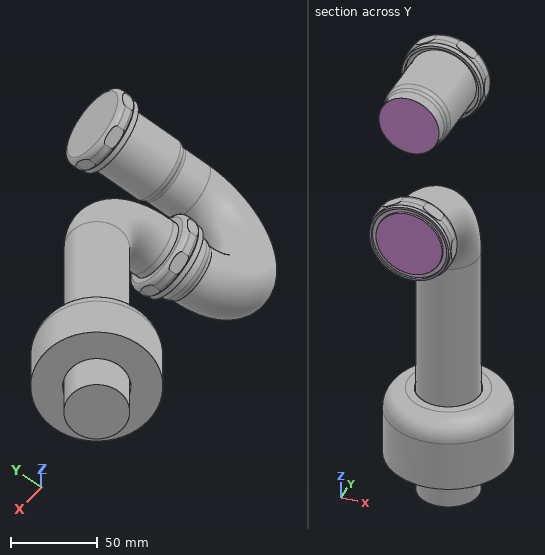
import cadquery as cq

pipe_radius = 19.0
total_height = 316.7
axis_spacing = 82.5
u_bend_radius = axis_spacing / 2
u_bend_end_y = -69.7
elbow_radius = 41.5

crown_diameter = 52.3
crown_radius = crown_diameter / 2
flat_count = 6
flat_distance = 25.3
nut_width = 10.0
mouth_rounding = 3.5
back_rounding = 2.2
collar_radius = 25.0
collar_width = 3.5
collar_recess_radius = 23.5
collar_recess_depth = 2.5

socket_radius = 21.0
neck_length = 5.5
neck_shoulder_share = 0.57
upper_mouth_y = 3.2
upper_socket_end_y = -45.5
lower_mouth_y = -45.5
lower_socket_end_y = -65.2

cup_diameter = 76.3
cup_bottom_z = 25.5
cup_height = 45.0
cup_rounding = 13.3
cup_hole_radius = 19.5

upper_axis_z = total_height - crown_radius
lower_axis_z = upper_axis_z - axis_spacing


def cylinder_toward_minus_y(start_y, axis_z, radius, length):
    """Solid cylinder on a horizontal axis, running from start_y toward -Y."""
    return cq.Workplane("XZ", origin=(0, start_y, axis_z)).circle(radius).extrude(length)


def make_union_nut(mouth_y, axis_z):
    """Nut whose flats cut into a crown rounded at both ends, plus its collar."""
    crown = cylinder_toward_minus_y(mouth_y, axis_z, crown_radius, nut_width)
    crown = crown.faces(">Y").edges().fillet(mouth_rounding)
    crown = crown.faces("<Y").edges().fillet(back_rounding)

    hexagon = (
        cq.Workplane("XZ", origin=(0, mouth_y, axis_z))
        .polygon(flat_count, 2 * flat_distance, circumscribed=True)
        .extrude(nut_width)
    )
    collar = cylinder_toward_minus_y(mouth_y - nut_width, axis_z, collar_radius, collar_width)
    collar_back_y = mouth_y - nut_width - collar_width
    recess = cylinder_toward_minus_y(
        collar_back_y + collar_recess_depth, axis_z, collar_recess_radius, collar_recess_depth
    )
    return crown.intersect(hexagon).union(collar).cut(recess)


def make_socket(mouth_y, socket_end_y, axis_z):
    """Socket that starts behind the crown and narrows to the pipe in an S-shaped neck."""
    start_y = mouth_y - nut_width
    neck_step = socket_radius - pipe_radius
    neck_middle = (
        socket_end_y - neck_shoulder_share * neck_length,
        socket_radius - neck_shoulder_share * neck_step,
    )
    neck_end = (socket_end_y - neck_length, pipe_radius)
    return (
        cq.Workplane("YZ", origin=(0, 0, axis_z))
        .moveTo(start_y, 0)
        .lineTo(start_y, socket_radius)
        .lineTo(socket_end_y, socket_radius)
        .tangentArcPoint(neck_middle, relative=False)
        .tangentArcPoint(neck_end, relative=False)
        .lineTo(neck_end[0], 0)
        .close()
        .revolve(360, (0, 0, 0), (1, 0, 0))
    )


def make_trap():
    """U-bend with a socket and union nut on each end."""
    upper_straight_start_y = upper_socket_end_y - neck_length
    upper_straight = cylinder_toward_minus_y(
        upper_straight_start_y, upper_axis_z, pipe_radius, upper_straight_start_y - u_bend_end_y
    )
    u_bend = (
        cq.Workplane("XZ", origin=(0, u_bend_end_y, lower_axis_z))
        .circle(pipe_radius)
        .revolve(180, (3.2, u_bend_radius, 0), (-3.2, u_bend_radius, 0))
    )
    return (
        make_union_nut(upper_mouth_y, upper_axis_z)
        .union(make_socket(upper_mouth_y, upper_socket_end_y, upper_axis_z))
        .union(upper_straight)
        .union(u_bend)
        .union(make_socket(lower_mouth_y, lower_socket_end_y, lower_axis_z))
        .union(make_union_nut(lower_mouth_y, lower_axis_z))
    )


def make_downpipe():
    """Vertical pipe with an elbow at its top, ending against the lower union nut."""
    elbow_path = (
        cq.Workplane("YZ")
        .lineTo(0, lower_axis_z - elbow_radius)
        .tangentArcPoint((-elbow_radius, lower_axis_z), relative=False)
        .lineTo(lower_mouth_y, lower_axis_z)
    )
    return cq.Workplane("XY").circle(pipe_radius).sweep(elbow_path)


def make_cup():
    """Cup with a rounded top rim and a clearance hole for the downpipe."""
    cup = cq.Workplane("XY", origin=(0, 0, cup_bottom_z)).circle(cup_diameter / 2).extrude(cup_height)
    cup = cup.faces(">Z").edges().fillet(cup_rounding)
    return cup.faces(">Z").workplane().circle(cup_hole_radius).cutThruAll()


trap = make_trap()
downpipe = make_downpipe()
cup = make_cup()

result = cq.Compound.makeCompound([trap.val(), downpipe.val(), cup.val()])